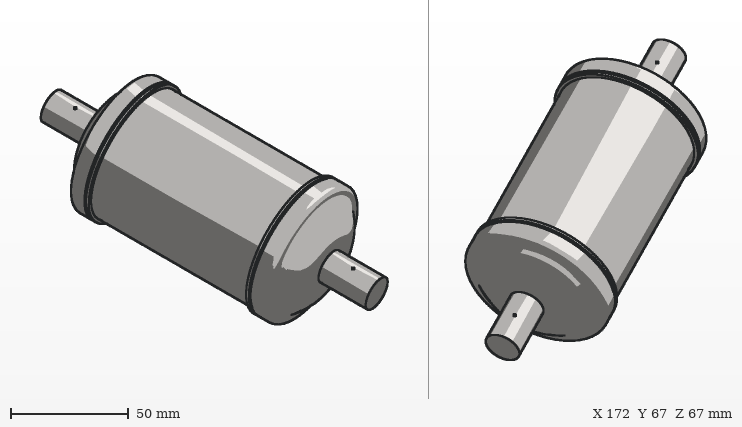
import cadquery as cq
import math

half_length = 86.0
tube_radius = 7.9
shell_radius = 31.8
rim_radius = 33.5

collar_inner_x = 41.6
groove_x = 43.5
shoulder_x = 52.3
dome_x = 61.0

groove_width = 0.9
groove_depth = 0.7
shoulder_fillet = 2.4
neck_fillet = 3.5
neck_end_radius = 30.1
dome_flat_radius = 10.8
cone_angle = math.radians(45)

dimple_diameter = 1.0
dimple_depth = 0.5
dimple_x = (dome_x + half_length) / 2


def arc_point(center, radius, angle):
    """Point on an arc, with the angle measured from the X axis."""
    return (center[0] + radius * math.cos(angle), center[1] + radius * math.sin(angle))


neck_center = (shoulder_x + neck_fillet, neck_end_radius)
neck_mid = arc_point(neck_center, neck_fillet, math.pi + cone_angle / 2)
cone_start = arc_point(neck_center, neck_fillet, math.pi + cone_angle)

cone_normal_offset = (
    (cone_start[0] - dome_x) * math.cos(cone_angle)
    + (cone_start[1] - dome_flat_radius) * math.sin(cone_angle)
)
dome_radius = cone_normal_offset / (1 - math.cos(cone_angle))
dome_center = (dome_x - dome_radius, dome_flat_radius)
cone_end = arc_point(dome_center, dome_radius, cone_angle)
dome_mid = arc_point(dome_center, dome_radius, cone_angle / 2)

shoulder_center = (shoulder_x - shoulder_fillet, rim_radius - shoulder_fillet)
shoulder_mid = arc_point(shoulder_center, shoulder_fillet, math.radians(45))


def make_end_cap():
    """Turned end cap with its connection tube, on the +X side."""
    return (
        cq.Workplane("XY")
        .moveTo(collar_inner_x, 0)
        .lineTo(collar_inner_x, rim_radius)
        .lineTo(groove_x - groove_width / 2, rim_radius)
        .lineTo(groove_x, rim_radius - groove_depth)
        .lineTo(groove_x + groove_width / 2, rim_radius)
        .lineTo(shoulder_center[0], rim_radius)
        .threePointArc(shoulder_mid, (shoulder_x, shoulder_center[1]))
        .lineTo(shoulder_x, neck_end_radius)
        .threePointArc(neck_mid, cone_start)
        .lineTo(*cone_end)
        .threePointArc(dome_mid, (dome_x, dome_flat_radius))
        .lineTo(dome_x, tube_radius)
        .lineTo(half_length, tube_radius)
        .lineTo(half_length, 0)
        .close()
        .revolve(360, (0, 0, 0), (1, 0, 0))
    )


def make_shell():
    """Plain cylinder between the two end caps."""
    return (
        cq.Workplane("YZ")
        .circle(shell_radius)
        .extrude(collar_inner_x, both=True)
    )


def make_dimples():
    """Cutters for the dimples on top of both tubes."""
    return (
        cq.Workplane("XY", origin=(0, 0, tube_radius - dimple_depth))
        .pushPoints([(-dimple_x, 0), (dimple_x, 0)])
        .circle(dimple_diameter / 2)
        .extrude(2 * dimple_depth)
    )


end_cap = make_end_cap()
body = make_shell().union(end_cap).union(end_cap.mirror("YZ"))
result = body.cut(make_dimples())